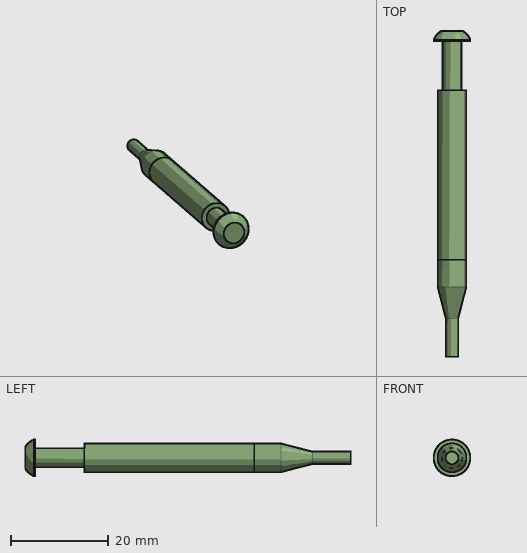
import cadquery as cq

PIN_LENGTH = 8.0
CONE_REAR = 14.45
NOSE_REAR = 19.95
BARREL_REAR = 55.0
HEAD_FRONT = 65.05
TOTAL_LENGTH = 67.2

PIN_DIAMETER = 2.6
BARREL_DIAMETER = 6.0
SHANK_DIAMETER = 3.95
HEAD_DIAMETER = 7.6
HEAD_CROWN_DIAMETER = 4.45

RIM_THICKNESS = 0.35
DOME_BULGE = 0.2

pin_radius = PIN_DIAMETER / 2
barrel_radius = BARREL_DIAMETER / 2
shank_radius = SHANK_DIAMETER / 2
head_radius = HEAD_DIAMETER / 2
crown_radius = HEAD_CROWN_DIAMETER / 2


def revolve_about_y(profile):
    """Turn a closed half-profile (radius, y) fully around the Y axis."""
    return profile.revolve(360, (0, 0, 0), (0, 1, 0))


def make_nose():
    """Collar tapering down to a slender tip pin."""
    profile = (
        cq.Workplane("XY")
        .lineTo(pin_radius, 0)
        .lineTo(pin_radius, PIN_LENGTH)
        .lineTo(barrel_radius, CONE_REAR)
        .lineTo(barrel_radius, NOSE_REAR)
        .lineTo(0, NOSE_REAR)
        .close()
    )
    return revolve_about_y(profile)


def make_barrel():
    """Plain cylinder between the nose and the plunger."""
    profile = (
        cq.Workplane("XY")
        .moveTo(0, NOSE_REAR)
        .lineTo(barrel_radius, NOSE_REAR)
        .lineTo(barrel_radius, BARREL_REAR)
        .lineTo(0, BARREL_REAR)
        .close()
    )
    return revolve_about_y(profile)


def make_plunger():
    """Round shank with a domed button head, seated on the barrel's rear face."""
    rim_rear = HEAD_FRONT + RIM_THICKNESS
    profile = (
        cq.Workplane("XY")
        .moveTo(0, BARREL_REAR)
        .lineTo(shank_radius, BARREL_REAR)
        .lineTo(shank_radius, HEAD_FRONT)
        .lineTo(head_radius, HEAD_FRONT)
        .lineTo(head_radius, rim_rear)
        .sagittaArc((crown_radius, TOTAL_LENGTH), -DOME_BULGE)
        .lineTo(0, TOTAL_LENGTH)
        .close()
    )
    return revolve_about_y(profile)


nose = make_nose()
barrel = make_barrel()
plunger = make_plunger()

result = cq.Compound.makeCompound([nose.val(), barrel.val(), plunger.val()])